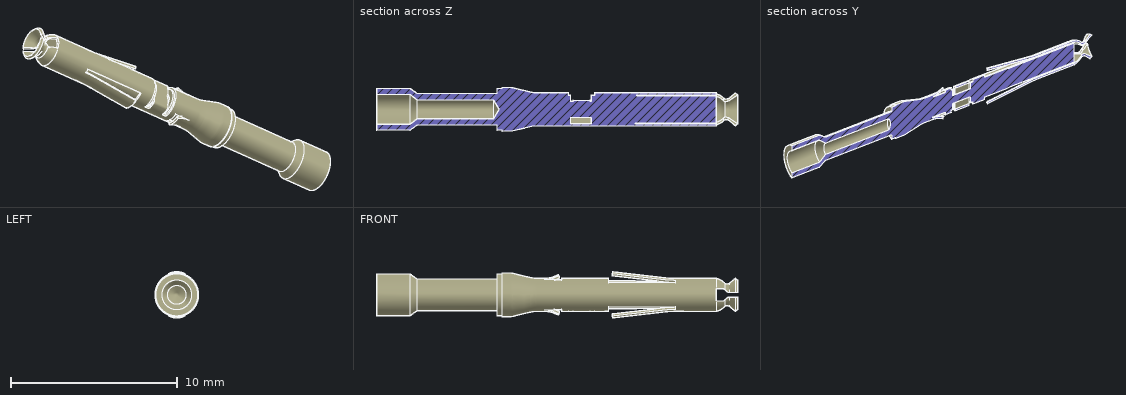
import cadquery as cq
import math


TOTAL_LENGTH = 21.65

HEAD_RADIUS = 1.26
HEAD_END = 2.0
NECK_RADIUS = 0.96
NECK_START = 2.42
COLLAR_START = 7.2
COLLAR_STEP = 7.5
COLLAR_RADIUS = 1.315
CROWN_START = 8.04
CROWN_END = 8.18
TAPER_END = 9.2
TAPER_BLEND_END = 9.61

BORE_RADIUS = 0.89
NECK_BORE_RADIUS = 0.56
BORE_END = 7.0
DRILL_HALF_ANGLE = math.radians(59)

SLEEVE_RADIUS = 1.0
SHEET = 0.15
SLEEVE_BORE = SLEEVE_RADIUS - SHEET
CORE_STEP_START = 15.5
CORE_STEP_END = 15.66
CORE_FRONT_RADIUS = 0.82
CORE_END = 20.37

CRIMP_START = 11.5
CRIMP_END = 13.06
CRIMP_SLOT_WIDTH = 0.27
CRIMP_FLAT_Y = 0.55
CRIMP_BEND_RADIUS = 0.2
GROOVE_START = 11.62
GROOVE_END = 12.86
GROOVE_RADIUS = 0.5

TAB_START = 10.06
TAB_BEND_END = 10.55
TAB_TIP = 10.9
TAB_BEND_RADIUS = 1.07
TAB_TIP_RADIUS = 1.22
TAB_WIDTH = 0.85
TAB_WINDOW_END = 11.08

WINDOW_START = 13.9
WINDOW_END = 17.92
WINDOW_HALF_ANGLE = 43
LANCE_TIP = 14.11
LANCE_BEND_START = 17.27
LANCE_ROOT = 17.84
LANCE_HALF_ANGLE = 29
LANCE_TIP_HEIGHT = 1.395

MOUTH_START = 20.37
THROAT_START = 20.88
THROAT_END = 21.14
THROAT_RADIUS = 0.66
THROAT_EDGE_RADIUS = 0.69
SHOULDER_RISE = 0.055
FLARE_TIP = 21.5
FLARE_RADIUS = 1.0
FLARE_INNER_RADIUS = 0.88
SLOT_HALF_HEIGHT = 0.36
SLOT_TAPER_START = 20.8
SLOT_TAPER_END = 21.06
SLOT_MOUTH_HALF_HEIGHT = 0.14

CLEARANCE = 1.0


def revolve_about_x(profile):
    """Revolve a closed XY-plane outline (x along the axis, y as radius) a full turn."""
    return profile.close().revolve(360, (0, 0, 0), (1, 0, 0))


def tube(x_start, x_end, outer_radius, inner_radius):
    section = cq.Workplane("YZ", origin=(x_start, 0, 0)).circle(outer_radius).circle(inner_radius)
    return section.extrude(x_end - x_start)


def cylinder(x_start, x_end, radius):
    return cq.Workplane("YZ", origin=(x_start, 0, 0)).circle(radius).extrude(x_end - x_start)


def ring_sector(x, inner_radius, outer_radius, half_angle):
    """Ring sector in a plane normal to X, centred on +Z."""
    a = math.radians(half_angle)
    return (
        cq.Workplane("YZ", origin=(x, 0, 0))
        .moveTo(-inner_radius * math.sin(a), inner_radius * math.cos(a))
        .lineTo(-outer_radius * math.sin(a), outer_radius * math.cos(a))
        .threePointArc((0, outer_radius), (outer_radius * math.sin(a), outer_radius * math.cos(a)))
        .lineTo(inner_radius * math.sin(a), inner_radius * math.cos(a))
        .threePointArc((0, inner_radius), (-inner_radius * math.sin(a), inner_radius * math.cos(a)))
        .close()
    )


def above_and_below(feature):
    """The feature on +Z together with its mirror image on -Z."""
    return feature.union(feature.mirror("XY"))


def make_body():
    """Head, neck, collar with its rounded taper, and the core inside the sleeve."""
    cone_top_x = (CROWN_START + CROWN_END) / 2
    cone_foot_x = (TAPER_END + TAPER_BLEND_END) / 2
    cone_slope = (COLLAR_RADIUS - SLEEVE_RADIUS) / (cone_foot_x - cone_top_x)
    crown_end_radius = COLLAR_RADIUS - cone_slope * (CROWN_END - cone_top_x)
    taper_end_radius = SLEEVE_RADIUS + cone_slope * (cone_foot_x - TAPER_END)
    outline = (
        cq.Workplane("XY")
        .lineTo(0, HEAD_RADIUS)
        .lineTo(HEAD_END, HEAD_RADIUS)
        .lineTo(NECK_START, NECK_RADIUS)
        .lineTo(COLLAR_START, NECK_RADIUS)
        .lineTo(COLLAR_START, HEAD_RADIUS)
        .lineTo(COLLAR_STEP, HEAD_RADIUS)
        .lineTo(COLLAR_STEP, COLLAR_RADIUS)
        .lineTo(CROWN_START, COLLAR_RADIUS)
        .tangentArcPoint((CROWN_END, crown_end_radius), relative=False)
        .lineTo(TAPER_END, taper_end_radius)
        .tangentArcPoint((TAPER_BLEND_END, SLEEVE_RADIUS), relative=False)
        .lineTo(TAPER_BLEND_END, SLEEVE_BORE)
        .lineTo(GROOVE_START, SLEEVE_BORE)
        .lineTo(GROOVE_START, GROOVE_RADIUS)
        .lineTo(GROOVE_END, GROOVE_RADIUS)
        .lineTo(GROOVE_END, SLEEVE_BORE)
        .lineTo(CORE_STEP_START, SLEEVE_BORE)
        .lineTo(CORE_STEP_END, CORE_FRONT_RADIUS)
        .lineTo(CORE_END, CORE_FRONT_RADIUS)
        .lineTo(CORE_END, 0)
    )
    return revolve_about_x(outline)


def make_wire_bore():
    """Stepped bore: wide in the head, coned down to the neck bore, drill-point end."""
    drill_point = NECK_BORE_RADIUS / math.tan(DRILL_HALF_ANGLE)
    outline = (
        cq.Workplane("XY")
        .lineTo(0, BORE_RADIUS)
        .lineTo(HEAD_END, BORE_RADIUS)
        .lineTo(NECK_START, NECK_BORE_RADIUS)
        .lineTo(BORE_END, NECK_BORE_RADIUS)
        .lineTo(BORE_END + drill_point, 0)
    )
    return revolve_about_x(outline)


def make_crimp_tab():
    """Stretch of sleeve between the two crimp slots, its +Y side pressed flat into the groove."""
    x_start = CRIMP_START + CRIMP_SLOT_WIDTH
    length = CRIMP_END - CRIMP_SLOT_WIDTH - x_start

    def d_bar(radius, flat_y, bend_radius):
        """Round bar with a flat facing +Y, its two corners rounded."""
        bar = cylinder(x_start, x_start + length, radius)
        beyond_flat = cq.Workplane("XY").box(
            length, radius, 2 * radius, centered=(False, False, True)
        ).translate((x_start, flat_y, 0))
        corner_z = math.sqrt(radius**2 - flat_y**2)
        flat_corners = cq.selectors.BoxSelector(
            (x_start, flat_y - SHEET / 2, -corner_z - SHEET),
            (x_start + length, flat_y + SHEET / 2, corner_z + SHEET),
        )
        return bar.cut(beyond_flat).edges("|X").edges(flat_corners).fillet(bend_radius)

    outside = d_bar(SLEEVE_RADIUS, CRIMP_FLAT_Y, CRIMP_BEND_RADIUS)
    inside = d_bar(SLEEVE_BORE, CRIMP_FLAT_Y - SHEET, CRIMP_BEND_RADIUS - SHEET)
    return outside.cut(inside)


def cut_crimp(sleeve):
    """Open the +Y half of the sleeve at the crimp and put the pressed tab in it."""
    length = CRIMP_END - CRIMP_START
    reach = SLEEVE_RADIUS + CLEARANCE
    half_block = cq.Workplane("XY").box(length, reach, 2 * reach, centered=(False, False, True))
    return sleeve.cut(half_block.translate((CRIMP_START, 0, 0))).union(make_crimp_tab())


def make_stop_tab():
    """Short tab of sheet curling outward from the sleeve towards +X."""
    tilt = math.atan2(TAB_TIP_RADIUS - TAB_BEND_RADIUS, TAB_TIP - TAB_BEND_END)
    drop_x = SHEET * math.sin(tilt)
    drop_r = SHEET * math.cos(tilt)
    bend_middle_x = (TAB_START + TAB_BEND_END) / 2
    bend_middle_rise = (TAB_BEND_RADIUS - SLEEVE_RADIUS) / 4
    outline = (
        cq.Workplane("XY")
        .moveTo(TAB_START, SLEEVE_BORE)
        .lineTo(TAB_START, SLEEVE_RADIUS)
        .threePointArc((bend_middle_x, SLEEVE_RADIUS + bend_middle_rise), (TAB_BEND_END, TAB_BEND_RADIUS))
        .lineTo(TAB_TIP, TAB_TIP_RADIUS)
        .lineTo(TAB_TIP + drop_x, TAB_TIP_RADIUS - drop_r)
        .lineTo(TAB_BEND_END + drop_x, TAB_BEND_RADIUS - drop_r)
        .threePointArc((bend_middle_x, SLEEVE_BORE + bend_middle_rise), (TAB_START, SLEEVE_BORE))
    )
    return revolve_about_x(outline).intersect(tab_block())


def tab_block():
    """Block that opens the sleeve around a stop tab, on +Z."""
    length = TAB_WINDOW_END - TAB_START
    height = SLEEVE_RADIUS + CLEARANCE
    block = cq.Workplane("XY").box(length, TAB_WIDTH, height, centered=(False, True, False))
    return block.translate((TAB_START, 0, 0))


def make_lance():
    """Strip of sheet bent up at its root and running straight to a free tip towards -X."""
    bend_length = LANCE_ROOT - LANCE_BEND_START
    straight_length = LANCE_BEND_START - LANCE_TIP
    tilt = (LANCE_TIP_HEIGHT - SLEEVE_RADIUS) / (bend_length / 2 + straight_length)
    bend_radius = bend_length / tilt
    pivot_z = SLEEVE_RADIUS + bend_radius

    def root_section():
        return ring_sector(LANCE_ROOT, SLEEVE_BORE, SLEEVE_RADIUS, LANCE_HALF_ANGLE)

    bend = root_section().revolve(math.degrees(tilt), (0, pivot_z, 0), (1, pivot_z, 0))
    straight = root_section().extrude(-straight_length).rotate(
        (LANCE_ROOT, 0, pivot_z), (LANCE_ROOT, 1, pivot_z), math.degrees(tilt)
    )
    return bend.union(straight)


def make_lance_window():
    """Window around a lance, leaving the foot of the lance standing at its +X end."""
    inner = SLEEVE_BORE / 2
    outer = SLEEVE_RADIUS + CLEARANCE
    window = ring_sector(WINDOW_START, inner, outer, WINDOW_HALF_ANGLE).extrude(WINDOW_END - WINDOW_START)
    foot = ring_sector(LANCE_ROOT, inner, outer, LANCE_HALF_ANGLE).extrude(WINDOW_END - LANCE_ROOT)
    return window.cut(foot)


def make_mouth():
    """Sheet shell that narrows to a throat and flares again, split by a slot along Y."""
    shoulder_x = (MOUTH_START + THROAT_START) / 2
    shoulder_radius = (SLEEVE_RADIUS + THROAT_EDGE_RADIUS) / 2 + SHOULDER_RISE
    throat_x = (THROAT_START + THROAT_END) / 2
    shell = revolve_about_x(
        cq.Workplane("XY")
        .moveTo(MOUTH_START, SLEEVE_RADIUS)
        .threePointArc((shoulder_x, shoulder_radius), (THROAT_START, THROAT_EDGE_RADIUS))
        .threePointArc((throat_x, THROAT_RADIUS), (THROAT_END, THROAT_EDGE_RADIUS))
        .lineTo(FLARE_TIP, FLARE_RADIUS)
        .lineTo(TOTAL_LENGTH, FLARE_INNER_RADIUS)
        .lineTo(THROAT_END, THROAT_EDGE_RADIUS - SHEET)
        .threePointArc((throat_x, THROAT_RADIUS - SHEET), (THROAT_START, THROAT_EDGE_RADIUS - SHEET))
        .threePointArc((shoulder_x, shoulder_radius - SHEET), (MOUTH_START, SLEEVE_BORE))
    )
    slot = (
        cq.Workplane("XZ")
        .moveTo(MOUTH_START, -SLOT_HALF_HEIGHT)
        .lineTo(MOUTH_START, SLOT_HALF_HEIGHT)
        .lineTo(SLOT_TAPER_START, SLOT_HALF_HEIGHT)
        .lineTo(SLOT_TAPER_END, SLOT_MOUTH_HALF_HEIGHT)
        .lineTo(TOTAL_LENGTH, SLOT_MOUTH_HALF_HEIGHT)
        .lineTo(TOTAL_LENGTH, -SLOT_MOUTH_HALF_HEIGHT)
        .lineTo(SLOT_TAPER_END, -SLOT_MOUTH_HALF_HEIGHT)
        .lineTo(SLOT_TAPER_START, -SLOT_HALF_HEIGHT)
        .close()
        .extrude(SLEEVE_RADIUS + CLEARANCE, both=True)
    )
    return shell.cut(slot)


def make_sleeve():
    """Sheet sleeve with its crimp, stop tabs, spring lances and split mouth."""
    sleeve = tube(TAPER_BLEND_END, MOUTH_START, SLEEVE_RADIUS, SLEEVE_BORE)
    sleeve = cut_crimp(sleeve)
    sleeve = sleeve.cut(above_and_below(tab_block()))
    sleeve = sleeve.union(above_and_below(make_stop_tab()))
    sleeve = sleeve.cut(above_and_below(make_lance_window()))
    sleeve = sleeve.union(above_and_below(make_lance()))
    return sleeve.union(make_mouth())


result = make_body().cut(make_wire_bore()).union(make_sleeve())